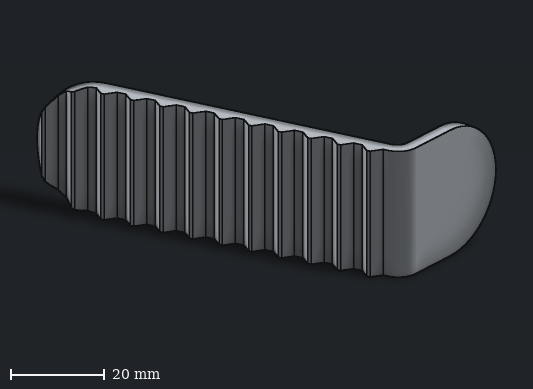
import cadquery as cq
import math

width = 30.0
thickness = 3.0
base_length = 87.0
leg_length = 30.0
lean_angle = 15.0
bend_outer_radius = 5.0
bend_inner_radius = 3.0
end_radius = width / 2

rib_count = 12
rib_pitch = 7.0
rib_height = 2.0
rib_base_width = 5.0
rib_crest_width = 0.8

lean = math.radians(lean_angle)
leg_direction = (math.sin(lean), math.cos(lean))
leg_inward = (-math.cos(lean), math.sin(lean))
turn_angle = math.pi / 2 - lean


def offset(point, direction, distance):
    return (point[0] + distance * direction[0], point[1] + distance * direction[1])


leg_tip = offset((base_length, 0), leg_direction, leg_length)


def bend_points(corner, radius):
    """Start, middle and end of an arc that rounds the given corner between base and leg."""
    start_x = corner[0] - radius * math.tan(turn_angle / 2)
    center = (start_x, corner[1] + radius)
    return [
        offset(center, (math.sin(angle), -math.cos(angle)), radius)
        for angle in (0, turn_angle / 2, turn_angle)
    ]


def strip():
    """Bent strip with square ends and a rounded bend."""
    outer_corner = (base_length, 0)
    inner_corner = (base_length - thickness * math.tan(turn_angle / 2), thickness)
    outer_start, outer_middle, outer_end = bend_points(outer_corner, bend_outer_radius)
    inner_start, inner_middle, inner_end = bend_points(inner_corner, bend_inner_radius)
    inner_tip = offset(leg_tip, leg_inward, thickness)
    return (
        cq.Workplane("XY")
        .moveTo(0, 0)
        .lineTo(*outer_start)
        .threePointArc(outer_middle, outer_end)
        .lineTo(*leg_tip)
        .lineTo(*inner_tip)
        .lineTo(*inner_end)
        .threePointArc(inner_middle, inner_start)
        .lineTo(0, thickness)
        .close()
        .extrude(width / 2, both=True)
    )


def rib(start_x):
    """Trapezoidal rib across the full width, its base starting at start_x."""
    flank_run = (rib_base_width - rib_crest_width) / 2
    return (
        cq.Workplane("XY")
        .moveTo(start_x, 0)
        .lineTo(start_x + flank_run, -rib_height)
        .lineTo(start_x + flank_run + rib_crest_width, -rib_height)
        .lineTo(start_x + rib_base_width, 0)
        .close()
        .extrude(width / 2, both=True)
    )


def round_end_waste(plane, depth):
    """Material outside a half round whose tip is at the plane origin, local +X pointing into the part."""
    square = cq.Workplane(plane).rect(2 * end_radius, width).extrude(depth, both=True)
    disc = cq.Workplane(plane).center(end_radius, 0).circle(end_radius).extrude(depth, both=True)
    return square.cut(disc)


def base_end_waste():
    plane = cq.Plane(origin=(0, 0, 0), xDir=(1, 0, 0), normal=(0, -1, 0))
    return round_end_waste(plane, thickness + rib_height)


def leg_end_waste():
    plane = cq.Plane(
        origin=(*leg_tip, 0),
        xDir=(-leg_direction[0], -leg_direction[1], 0),
        normal=(*leg_inward, 0),
    )
    return round_end_waste(plane, 2 * thickness)


body = strip()
for index in range(rib_count):
    body = body.union(rib(index * rib_pitch))

result = body.cut(base_end_waste()).cut(leg_end_waste())